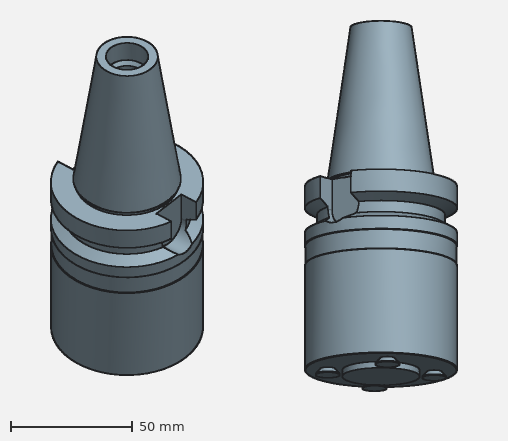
import cadquery as cq
import math

total_height = 147.8
body_bottom = 2.7
band_bottom = 46.9
band_top = 55.4
groove_cone_bottom = 60.9
neck_bottom = 63.7
neck_top = 68.5
flange_edge = 71.2
flange_top = 80.5
relief_top = 81.9
taper_bottom = 82.3

body_diameter = 63.0
band_diameter = 62.5
neck_diameter = 52.9
relief_diameter = 43.2
taper_large_diameter = 44.5
taper_small_diameter = 25.4

joint_relief = 0.3

slot_width = 16.1
slot_bottom = 59.5
slot_floor_distance = 22.5

bore_diameter = 17.5
bore_depth = 9.2
inner_bore_diameter = 14.0
inner_bore_depth = 14.8
drill_point_angle = 140

boss_diameter = 31.9
screw_shank_diameter = 6.0
screw_head_diameter = 10.0
screw_rim_height = 0.5
screw_offset = 15.7


def revolve_profile(points):
    """Revolve (radius, height) points about Z."""
    return cq.Workplane("XZ").polyline(points).close().revolve(360, (0, 0), (0, 1))


def turned_body():
    body_radius = body_diameter / 2
    band_radius = band_diameter / 2
    neck_radius = neck_diameter / 2
    relief_radius = relief_diameter / 2
    return revolve_profile([
        (0, body_bottom),
        (body_radius - joint_relief, body_bottom),
        (body_radius, body_bottom + joint_relief),
        (body_radius, band_bottom),
        (band_radius, band_bottom + joint_relief),
        (band_radius, band_top - joint_relief),
        (body_radius, band_top),
        (body_radius, groove_cone_bottom),
        (neck_radius, neck_bottom),
        (neck_radius, neck_top),
        (body_radius, flange_edge),
        (body_radius, flange_top),
        (relief_radius, flange_top),
        (relief_radius, relief_top),
        (taper_large_diameter / 2, taper_bottom),
        (taper_small_diameter / 2, total_height),
        (0, total_height),
    ])


def drive_slot(side):
    """Round-bottomed slot open at the flange top; side is -1 or +1 along X."""
    half_width = slot_width / 2
    arc_height = slot_bottom + half_width
    depth = body_diameter / 2 - slot_floor_distance
    return (
        cq.Workplane("YZ", origin=(side * slot_floor_distance, 0, 0))
        .moveTo(-half_width, flange_top)
        .lineTo(-half_width, arc_height)
        .threePointArc((0, slot_bottom), (half_width, arc_height))
        .lineTo(half_width, flange_top)
        .close()
        .extrude(side * depth)
    )


def stud_bore():
    """Stepped bore with a 45 degree shoulder and a conical drill point."""
    bore_radius = bore_diameter / 2
    inner_radius = inner_bore_diameter / 2
    bore_floor = total_height - bore_depth
    inner_top = bore_floor - (bore_radius - inner_radius)
    inner_floor = inner_top - inner_bore_depth
    point_depth = inner_radius / math.tan(math.radians(drill_point_angle / 2))
    return revolve_profile([
        (0, total_height),
        (bore_radius, total_height),
        (bore_radius, bore_floor),
        (inner_radius, inner_top),
        (inner_radius, inner_floor),
        (0, inner_floor - point_depth),
    ])


def screw():
    """Conical screw head with a thin cylindrical rim at the lowest face."""
    head_radius = screw_head_diameter / 2
    return revolve_profile([
        (0, 0),
        (head_radius, 0),
        (head_radius, screw_rim_height),
        (screw_shank_diameter / 2, body_bottom),
        (0, body_bottom),
    ])


result = turned_body()
for side in (-1, 1):
    result = result.cut(drive_slot(side))
result = result.cut(stud_bore())

result = result.union(cq.Workplane("XY").circle(boss_diameter / 2).extrude(body_bottom))
for x_side in (-1, 1):
    for y_side in (-1, 1):
        result = result.union(screw().translate((x_side * screw_offset, y_side * screw_offset, 0)))